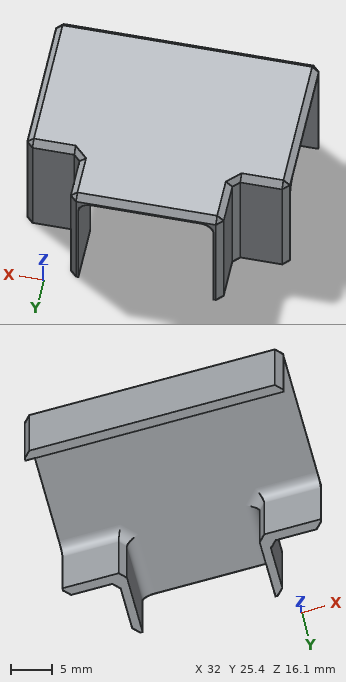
import cadquery as cq

length = 32.0
depth = 25.35
height = 16.1
branch_width = 18.63
main_depth = 18.63

wall = 1.1
roof = 1.05
chamfer = 0.8
cavity_radius = 1.57

front_y = -depth / 2
main_center_y = front_y + main_depth / 2
cavity_height = height - roof


def tee_block(main_size, branch_size, block_height):
    """T-shaped block from the bottom plane: a bar along X with a branch running out to +Y."""
    branch_run = depth / 2 - main_center_y
    main = cq.Workplane("XY").box(length, main_size, block_height, centered=(True, True, False))
    branch = cq.Workplane("XY").box(branch_size, branch_run, block_height, centered=(True, False, False))
    return main.union(branch).translate((0, main_center_y, 0))


def outer_body():
    """Solid T with chamfered upright edges and top rim."""
    body = tee_block(main_depth, branch_width, height)
    return body.edges("|Z or >Z").chamfer(chamfer)


def cavity():
    """T-shaped passage with chamfered inner corners and a rounded roof edge along its walls."""
    passage = tee_block(main_depth - 2 * wall, branch_width - 2 * wall, cavity_height)
    inner_corners = passage.edges("|Z and (not <X) and (not >X) and (not >Y)")
    passage = inner_corners.chamfer(chamfer)
    wall_tops = passage.edges(">Z").edges("(not <X) and (not >X) and (not >Y)")
    return wall_tops.fillet(cavity_radius)


result = outer_body().cut(cavity())